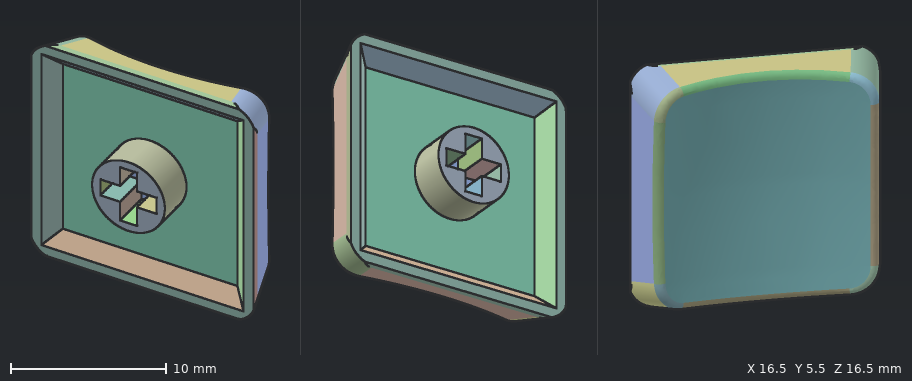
import cadquery as cq
import math

cap_width = 16.5
skirt_height = 0.5
wall_taper = 15.0
corner_radius = 2.0
top_edge_radius = 0.5
blank_height = 5.0

dish_floor_height = 2.0
dish_radius_x = 17.0
dish_radius_z = 70.0
dish_overrun = 1.5

rim_width = 0.75
cavity_depth = 1.0
cavity_floor_inset = 1.03

stem_diameter = 5.4
stem_projection = 1.8
cross_length = 4.17
cross_width = 1.25
cross_depth = stem_projection + cavity_depth


def plane_at(y):
    """Sketch plane at height y whose normal points along +Y."""
    return cq.Workplane(cq.Plane(origin=(0, y, 0), xDir=(1, 0, 0), normal=(0, 1, 0)))


def make_tapered_blank():
    """Tapered block with rounded corners, trimmed to a straight skirt at the rim."""
    base_width = cap_width + 2 * skirt_height * math.tan(math.radians(wall_taper))
    blank = plane_at(0).rect(base_width, base_width).extrude(blank_height, taper=wall_taper)
    blank = blank.edges("not(|X or |Z)").fillet(corner_radius)
    envelope = plane_at(0).rect(cap_width, cap_width).extrude(blank_height)
    return blank.intersect(envelope)


def make_dish_cutter():
    """Ring whose bulging outer side forms the dish; its axis is parallel to X."""
    axis_height = dish_floor_height + dish_radius_z
    half_width = cap_width / 2 + dish_overrun
    edge_rise = dish_radius_x - math.sqrt(dish_radius_x**2 - half_width**2)
    edge_height = dish_floor_height + edge_rise
    return (
        cq.Workplane("XY")
        .moveTo(-half_width, edge_height)
        .threePointArc((0, dish_floor_height), (half_width, edge_height))
        .lineTo(half_width, axis_height)
        .lineTo(-half_width, axis_height)
        .close()
        .revolve(360, (-half_width, axis_height), (half_width, axis_height))
    )


def make_cavity():
    opening = cap_width - 2 * rim_width
    taper = math.degrees(math.atan2(cavity_floor_inset, cavity_depth))
    return plane_at(0).rect(opening, opening).extrude(cavity_depth, taper=taper)


def make_stem():
    return plane_at(-stem_projection).circle(stem_diameter / 2).extrude(stem_projection + cavity_depth)


def make_cross_socket():
    start = plane_at(-stem_projection)
    bar_x = start.rect(cross_length, cross_width).extrude(cross_depth)
    bar_z = start.rect(cross_width, cross_length).extrude(cross_depth)
    return bar_x.union(bar_z)


cap = make_tapered_blank().cut(make_dish_cutter())
cap = cap.faces(">Y").edges().fillet(top_edge_radius)
cap = cap.cut(make_cavity())
result = cap.union(make_stem()).cut(make_cross_socket())